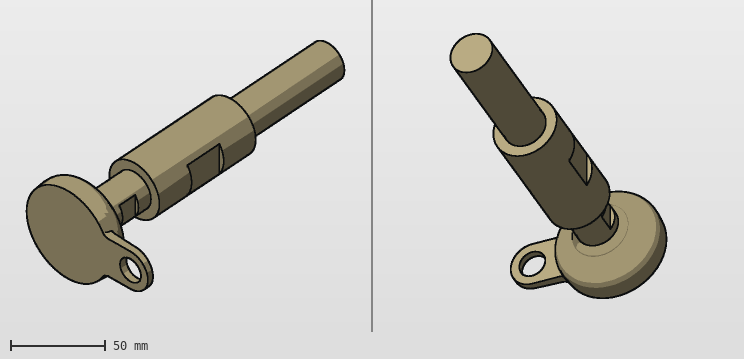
import cadquery as cq
import math

total_length = 203.0

underside_radius = 29.5
rim_radius = 30.0
rim_start = 6.3
rim_end = 8.7
shoulder_radius = 7.5
shoulder_angle = 27.0
shoulder_top = 20.0
neck_bottom = 21.1
neck_top = 25.0

stem_radius = 12.0
stem_flat_width = 19.0
stem_flat_start = 30.0
stem_flat_length = 12.4

sleeve_radius = 18.0
sleeve_start = 52.2
sleeve_length = 75.1
sleeve_flat_width = 30.0
sleeve_flat_length = 25.0
sleeve_flat_start = sleeve_start + (sleeve_length - sleeve_flat_length) / 2

lug_reach = 57.9
lug_half_width = 12.5
lug_eye_x = lug_reach - lug_half_width
lug_hole_radius = 7.5
lug_root_fillet = 5.0
lug_tip_thickness = 4.0
lug_slope = 3.0


def cylinder(radius, start, length):
    """Cylinder along +Y, beginning at the given Y."""
    return cq.Workplane("XZ", origin=(0, start, 0)).circle(radius).extrude(-length)


def cut_flats(body, body_radius, width, start, length):
    """Cut two parallel flats, facing -X and +X, a given width apart."""
    depth = body_radius
    for side in (-1, 1):
        cutter = cq.Workplane("XY").box(depth, length, 2 * body_radius)
        cutter = cutter.translate((side * (width + depth) / 2, start + length / 2, 0))
        body = body.cut(cutter)
    return body


def make_foot_disc():
    slope = math.radians(shoulder_angle)
    arc_center_radius = rim_radius - shoulder_radius
    arc_middle = (math.pi / 2 - slope) / 2
    arc_end_radius = arc_center_radius + shoulder_radius * math.sin(slope)
    arc_end = rim_end + shoulder_radius * math.cos(slope)
    shoulder_top_radius = arc_end_radius - (shoulder_top - arc_end) / math.tan(slope)
    neck_radius = stem_radius + neck_top - neck_bottom
    return (
        cq.Workplane("XY")
        .lineTo(underside_radius, 0)
        .lineTo(rim_radius, rim_start)
        .lineTo(rim_radius, rim_end)
        .threePointArc(
            (
                arc_center_radius + shoulder_radius * math.cos(arc_middle),
                rim_end + shoulder_radius * math.sin(arc_middle),
            ),
            (arc_end_radius, arc_end),
        )
        .lineTo(shoulder_top_radius, shoulder_top)
        .tangentArcPoint((neck_radius, neck_bottom), relative=False)
        .lineTo(stem_radius, neck_top)
        .lineTo(0, neck_top)
        .close()
        .revolve(360, (0, 0, 0), (0, 1, 0))
    )


def make_lug():
    fillet_z = lug_half_width + lug_root_fillet
    center_distance = underside_radius + lug_root_fillet
    fillet_x = math.sqrt(center_distance**2 - fillet_z**2)
    root_x = fillet_x * underside_radius / center_distance
    root_z = fillet_z * underside_radius / center_distance
    middle_angle = (math.atan2(-fillet_z, -fillet_x) - math.pi / 2) / 2
    middle_x = fillet_x + lug_root_fillet * math.cos(middle_angle)
    middle_z = fillet_z + lug_root_fillet * math.sin(middle_angle)

    root_thickness = lug_tip_thickness + lug_reach * math.tan(math.radians(lug_slope))
    wedge = (
        cq.Workplane("XY")
        .polyline([(0, 0), (lug_reach, 0), (lug_reach, lug_tip_thickness), (0, root_thickness)])
        .close()
        .extrude(underside_radius, both=True)
    )
    plan = (
        cq.Workplane("XZ")
        .lineTo(root_x, -root_z)
        .threePointArc((middle_x, -middle_z), (fillet_x, -lug_half_width))
        .lineTo(lug_eye_x, -lug_half_width)
        .threePointArc((lug_reach, 0), (lug_eye_x, lug_half_width))
        .lineTo(fillet_x, lug_half_width)
        .threePointArc((middle_x, middle_z), (root_x, root_z))
        .close()
        .extrude(-root_thickness)
    )
    hole = cylinder(lug_hole_radius, 0, root_thickness).translate((lug_eye_x, 0, 0))
    return plan.intersect(wedge).cut(hole)


def make_spindle():
    """Foot disc, lug and full-length stem as one body."""
    stem = cylinder(stem_radius, 0, total_length)
    stem = cut_flats(stem, stem_radius, stem_flat_width, stem_flat_start, stem_flat_length)
    return make_foot_disc().union(make_lug()).union(stem)


def make_sleeve():
    """Sleeve bored to fit the stem."""
    sleeve = cylinder(sleeve_radius, sleeve_start, sleeve_length)
    sleeve = cut_flats(
        sleeve, sleeve_radius, sleeve_flat_width, sleeve_flat_start, sleeve_flat_length
    )
    return sleeve.cut(cylinder(stem_radius, sleeve_start, sleeve_length))


spindle = make_spindle()
sleeve = make_sleeve()
result = cq.Compound.makeCompound([*spindle.solids().vals(), *sleeve.solids().vals()])